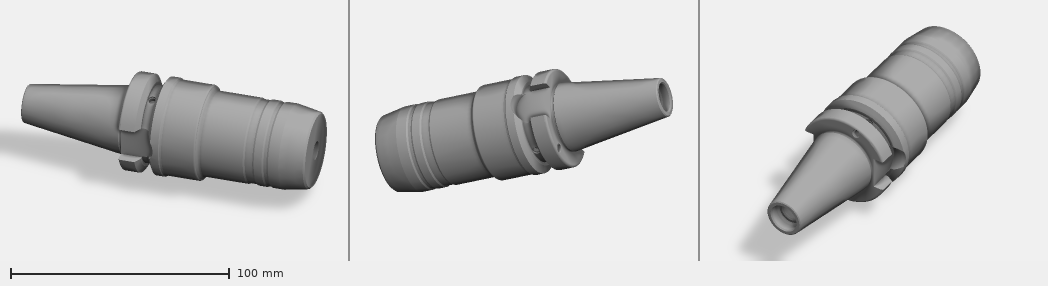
import cadquery as cq
import math

LENGTH = 138.4

TAPER_TIP_R = 9.0
TAPER_TIP_CHAMFER = 0.4
TAPER_END_X = 48.7
TAPER_RATIO = 7 / 24
TAPER_END_R = TAPER_TIP_R + TAPER_END_X * TAPER_RATIO / 2
RELIEF_R = 31.1 / 2
RELIEF_SLOPE = 0.4
RELIEF_ROUND = 0.5

FLANGE_X = 50.2
FLANGE_R = 46.0 / 2
FLANGE_ROUND = 1.1
GROOVE_MID_X = 62.0
GROOVE_FLOOR_WIDTH = 3.9
GROOVE_MOUTH_WIDTH = 7.9
GROOVE_FLOOR_R = 18.1
GROOVE_WALL_R = 19.7
FLANGE_END_X = 70.3
FLANGE_END_CHAMFER = 0.4

BODY_R = 44.5 / 2
BODY_ROOT_SLOPE = 0.8
SHOULDER_X = 86.4
SHOULDER_CONE_X = 87.2
SHOULDER_CONE_END_X = 88.2
SHOULDER_END_X = 89.0
SHOULDER_CONE_R = 21.6
SHOULDER_CONE_END_R = 20.5

NOSE_R = 40.0 / 2
BAND_R = 39.0 / 2
BAND_SLOPE = 0.8
BANDS = [(109.5, 114.7), (118.5, 121.5)]
NOSE_TAPER_X = 126.5
NOSE_TIP_R = 18.0
NOSE_TIP_CHAMFER = 0.8

SLOT_WIDTH = 16.2
SLOT_END_X = 67.3
SLOT_FLOOR_Y = 16.5

BORE_R = 8.9 / 2
PILOT_MOUTH_R = 14.1 / 2
PILOT_R = 13.1 / 2
PILOT_CHAMFER = 0.7
PILOT_DEPTH = 4.2
SEAT_R = 12.5 / 2
SEAT_CONE_END = 4.8
SEAT_DEPTH = 6.2
BORE_MOUTH_R = 10.1 / 2
BORE_MOUTH_CHAMFER = BORE_MOUTH_R - BORE_R

COOLANT_ANGLE = 20.0
COOLANT_TILT = 34.0
COOLANT_FACE_R = 19.9
COOLANT_MOUTH_D = 4.0
COOLANT_D = 3.2
COOLANT_MOUTH_DEPTH = 2.2
COOLANT_DEPTH = 9.7
PLUG_MOUTH_DEPTH = 0.8
PLUG_DEPTH = 2.8


def revolve(profile):
    return profile.close().revolve(360, (0, 0, 0), (1, 0, 0))


def make_body():
    half_floor = GROOVE_FLOOR_WIDTH / 2
    half_mouth = GROOVE_MOUTH_WIDTH / 2
    profile = (
        cq.Workplane("XY")
        .lineTo(0, TAPER_TIP_R - TAPER_TIP_CHAMFER)
        .lineTo(TAPER_TIP_CHAMFER, TAPER_TIP_R + TAPER_TIP_CHAMFER * TAPER_RATIO / 2)
        .lineTo(TAPER_END_X, TAPER_END_R)
        .lineTo(TAPER_END_X + RELIEF_SLOPE, RELIEF_R)
        .lineTo(FLANGE_X - RELIEF_ROUND, RELIEF_R)
        .tangentArcPoint((FLANGE_X, RELIEF_R + RELIEF_ROUND), relative=False)
        .lineTo(FLANGE_X, FLANGE_R - FLANGE_ROUND)
        .tangentArcPoint((FLANGE_X + FLANGE_ROUND, FLANGE_R), relative=False)
        .lineTo(GROOVE_MID_X - half_mouth, FLANGE_R)
        .lineTo(GROOVE_MID_X - half_floor, GROOVE_WALL_R)
        .lineTo(GROOVE_MID_X - half_floor, GROOVE_FLOOR_R)
        .lineTo(GROOVE_MID_X + half_floor, GROOVE_FLOOR_R)
        .lineTo(GROOVE_MID_X + half_floor, GROOVE_WALL_R)
        .lineTo(GROOVE_MID_X + half_mouth, FLANGE_R)
        .lineTo(FLANGE_END_X - FLANGE_END_CHAMFER, FLANGE_R)
        .lineTo(FLANGE_END_X, FLANGE_R - FLANGE_END_CHAMFER)
        .lineTo(FLANGE_END_X + BODY_ROOT_SLOPE, BODY_R)
        .lineTo(SHOULDER_X, BODY_R)
        .tangentArcPoint((SHOULDER_CONE_X, SHOULDER_CONE_R), relative=False)
        .lineTo(SHOULDER_CONE_END_X, SHOULDER_CONE_END_R)
        .tangentArcPoint((SHOULDER_END_X, NOSE_R), relative=False)
    )
    for start, end in BANDS:
        profile = (
            profile.lineTo(start, NOSE_R)
            .lineTo(start + BAND_SLOPE, BAND_R)
            .lineTo(end - BAND_SLOPE, BAND_R)
            .lineTo(end, NOSE_R)
        )
    profile = (
        profile.lineTo(NOSE_TAPER_X, NOSE_R)
        .lineTo(LENGTH - NOSE_TIP_CHAMFER, NOSE_TIP_R)
        .lineTo(LENGTH, NOSE_TIP_R - NOSE_TIP_CHAMFER)
        .lineTo(LENGTH, 0)
    )
    return revolve(profile)


def make_bore():
    profile = (
        cq.Workplane("XY")
        .lineTo(0, PILOT_MOUTH_R)
        .lineTo(PILOT_CHAMFER, PILOT_R)
        .lineTo(PILOT_DEPTH, PILOT_R)
        .lineTo(SEAT_CONE_END, SEAT_R)
        .lineTo(SEAT_DEPTH, SEAT_R)
        .lineTo(SEAT_DEPTH, BORE_MOUTH_R)
        .lineTo(SEAT_DEPTH + BORE_MOUTH_CHAMFER, BORE_R)
        .lineTo(LENGTH, BORE_R)
        .lineTo(LENGTH, 0)
    )
    return revolve(profile)


def make_drive_slot():
    """Round-ended slot on the -Y side, open towards the taper."""
    half_width = SLOT_WIDTH / 2
    arc_x = SLOT_END_X - half_width
    return (
        cq.Workplane("XZ", origin=(0, -SLOT_FLOOR_Y, 0))
        .moveTo(FLANGE_X, -half_width)
        .lineTo(arc_x, -half_width)
        .threePointArc((SLOT_END_X, 0), (arc_x, half_width))
        .lineTo(FLANGE_X, half_width)
        .close()
        .extrude(FLANGE_R - SLOT_FLOOR_Y)
    )


def stepped_hole(mouth, direction, mouth_depth, depth):
    """Hole with a wider mouth; it also reaches back to clear the surface it enters."""
    lead = COOLANT_MOUTH_D / 2
    start = mouth - direction * lead
    wide = cq.Solid.makeCylinder(COOLANT_MOUTH_D / 2, lead + mouth_depth, start, direction)
    narrow = cq.Solid.makeCylinder(COOLANT_D / 2, lead + depth, start, direction)
    return cq.Workplane(wide.fuse(narrow))


def make_coolant_holes():
    """Tilted flange hole and radial groove hole, turned into place about X."""
    tilt = math.radians(COOLANT_TILT)
    inward = cq.Vector(math.cos(tilt), 0, -math.sin(tilt))
    face_hole = stepped_hole(
        cq.Vector(FLANGE_X, 0, COOLANT_FACE_R), inward, COOLANT_MOUTH_DEPTH, COOLANT_DEPTH
    )
    groove_hole = stepped_hole(
        cq.Vector(GROOVE_MID_X, 0, GROOVE_FLOOR_R), cq.Vector(0, 0, -1), PLUG_MOUTH_DEPTH, PLUG_DEPTH
    )
    return face_hole.union(groove_hole).rotate((0, 0, 0), (1, 0, 0), COOLANT_ANGLE)


result = make_body().cut(make_bore())
for turn in (0, 180):
    for cutter in (make_drive_slot(), make_coolant_holes()):
        result = result.cut(cutter.rotate((0, 0, 0), (1, 0, 0), turn))